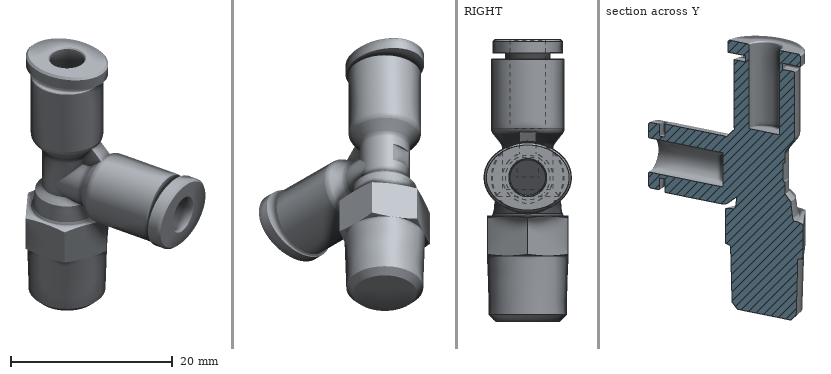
import cadquery as cq
import math


total_height = 34.9
port_reach = 17.1
branch_height = total_height - port_reach

thread_length = 8.1
thread_top_radius = 5.0
thread_taper = 1 / 32
thread_chamfer = 0.82

hex_flats = 10.0
hex_height = 4.92
hex_chamfer_radius = 5.0
hex_chamfer_angle = 15.0
hex_corner_radius = hex_flats / math.sqrt(3)
hex_top = thread_length + hex_height

collar_foot_radius = 4.45
collar_foot_height = 0.3
collar_lower_radius = 4.25
collar_middle_radius = 4.1
collar_upper_radius = 3.96
collar_step = 1.07
collar_foot_top = hex_top + collar_foot_height
collar_middle = collar_foot_top + collar_step
collar_top = collar_middle + collar_step

neck_radius = 3.12
neck_bottom = collar_top + collar_upper_radius - neck_radius
sleeve_radius = 4.5
sleeve_end = 14.7
sleeve_edge_chamfer = 0.1
shoulder_start = 3.98
shoulder_end = 5.73
shoulder_outer_fillet = 1.0
shoulder_inner_fillet = 0.8
stem_radius = 2.77

ring_length = 10.8
ring_width = 8.6
ring_thickness = 1.66
ring_chamfer = 0.27
bore_radius = 2.2
bore_chamfer = 0.15
bore_depth = 11.0

web_thickness = 2.0
web_diagonal = 10.0

notch_floor = 2.82
notch_height = 2.38
notch_center = 19.08


def revolve_profile(points):
    """Solid of revolution about Z from (radius, height) points."""
    return cq.Workplane("XZ").polyline(points).close().revolve(360, (0, 0, 0), (0, 1, 0))


def make_sleeve():
    """Neck, flared shoulder and sleeve along +Z, starting at the crossing of the axes."""
    sleeve = revolve_profile([
        (0, 0),
        (neck_radius, 0),
        (neck_radius, shoulder_start),
        (sleeve_radius, shoulder_end),
        (sleeve_radius, sleeve_end),
        (0, sleeve_end),
    ])

    selection_margin = 0.1

    def circle_at(height):
        """Selector for the circular edge at a given height."""
        return cq.selectors.BoxSelector(
            (-ring_length, -ring_length, height - selection_margin),
            (ring_length, ring_length, height + selection_margin),
            boundingbox=True,
        )

    sleeve = sleeve.edges(circle_at(shoulder_start)).fillet(shoulder_inner_fillet)
    sleeve = sleeve.edges(circle_at(shoulder_end)).fillet(shoulder_outer_fillet)
    return sleeve.faces(">Z").edges().chamfer(sleeve_edge_chamfer)


def make_port():
    """Sleeve with its stem and oval release ring, the ring long along X."""
    ring_bottom = port_reach - ring_thickness
    stem_length = ring_bottom - sleeve_end
    stem = cq.Workplane("XY").workplane(offset=sleeve_end).circle(stem_radius).extrude(stem_length)
    ring = (
        cq.Workplane("XY")
        .workplane(offset=ring_bottom)
        .ellipse(ring_length / 2, ring_width / 2)
        .extrude(ring_thickness)
        .faces(">Z")
        .edges()
        .chamfer(ring_chamfer)
    )
    return make_sleeve().union(stem).union(ring)


def make_bore():
    """Blind tube bore of a port, with a chamfered mouth."""
    return revolve_profile([
        (0, port_reach - bore_depth),
        (bore_radius, port_reach - bore_depth),
        (bore_radius, port_reach - bore_chamfer),
        (bore_radius + bore_chamfer, port_reach),
        (0, port_reach),
    ])


def place_upright(shape):
    """Raise a port so that its axis crosses the branch at the right height."""
    return shape.translate((0, 0, branch_height))


def place_branch(shape):
    """Lay a port along +X with the long side of its ring along Y."""
    turned = shape.rotate((0, 0, 0), (0, 0, 1), 90)
    laid_down = turned.rotate((0, 0, 0), (0, 1, 0), 90)
    return laid_down.translate((0, 0, branch_height))


def make_stub_and_collar():
    """Tapered thread stub, collar and lower neck as one turned body."""
    thread_end_radius = thread_top_radius - (thread_length - thread_chamfer) * thread_taper
    return revolve_profile([
        (0, 0),
        (thread_end_radius - thread_chamfer, 0),
        (thread_end_radius, thread_chamfer),
        (thread_top_radius, thread_length),
        (collar_foot_radius, hex_top),
        (collar_lower_radius, collar_foot_top),
        (collar_middle_radius, collar_middle),
        (collar_upper_radius, collar_top),
        (neck_radius, neck_bottom),
        (neck_radius, branch_height),
        (0, branch_height),
    ])


def make_hex():
    """Hexagon with corners on the X axis, chamfered at both ends."""
    base = cq.Workplane("XY").workplane(offset=thread_length)
    prism = base.polygon(6, 2 * hex_corner_radius).extrude(hex_height)
    chamfer_drop = (hex_corner_radius - hex_chamfer_radius) * math.tan(math.radians(hex_chamfer_angle))
    envelope = revolve_profile([
        (0, thread_length),
        (hex_chamfer_radius, thread_length),
        (hex_corner_radius, thread_length + chamfer_drop),
        (hex_corner_radius, hex_top - chamfer_drop),
        (hex_chamfer_radius, hex_top),
        (0, hex_top),
    ])
    return prism.intersect(envelope)


def make_web():
    """Triangular web filling the corner between the two ports."""
    return (
        cq.Workplane("XZ")
        .polyline([(0, 0), (web_diagonal, 0), (0, web_diagonal)])
        .close()
        .extrude(web_thickness / 2, both=True)
        .translate((0, 0, branch_height))
    )


def make_notch():
    """Cutter for the flat notch, reaching from its floor to well outside the neck."""
    notch_depth = sleeve_radius - notch_floor
    return cq.Workplane("XY").box(notch_depth, 2 * neck_radius, notch_height).translate(
        (-notch_floor - notch_depth / 2, 0, notch_center)
    )


port = make_port()
bore = make_bore()

body = make_stub_and_collar().union(make_hex())
body = body.union(place_upright(port)).union(place_branch(port)).union(make_web())
result = body.cut(place_upright(bore)).cut(place_branch(bore)).cut(make_notch())